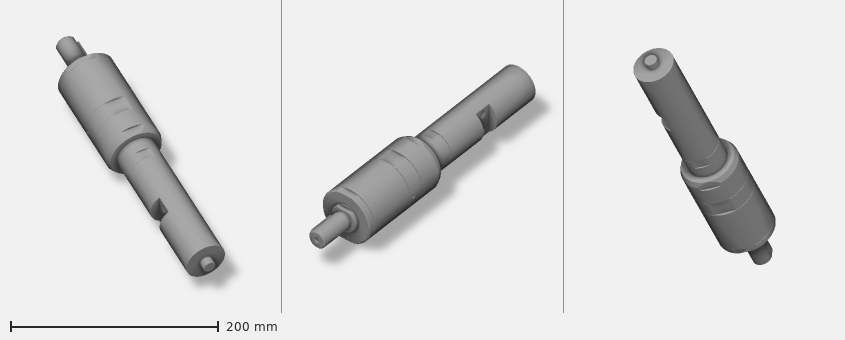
import cadquery as cq
import math

shaft_start = 0.0
shaft_end = 36.5
collar_start = 39.8
plate_start = 44.0
housing_start = 51.5
ring_start = 106.0
rear_cap_start = 123.8
rear_flat_start = 144.8
rear_taper_start = 148.5
handle_start = 154.2
wrench_start = 168.5
wrench_end = 179.0
handle_end = 305.0
total_length = 313.5

shaft_diameter = 20.0
shaft_neck_diameter = 18.8
collar_diameter = 30.0
recess_diameter = 35.0
housing_diameter = 60.0
rear_face_diameter = 55.0
handle_diameter = 41.5
stub_diameter = 13.0

shaft_chamfer = 1.3
collar_chamfer = 1.0
plate_chamfer = 1.5
joint_chamfer = 0.5
recess_depth = 1.0

collar_flats_width = 23.8
housing_flats_width = 55.2
handle_flats_width = 38.2

key_start = 5.0
key_end = 37.0
key_width = 6.0
key_top = 12.0
key_seat = 6.3

center_countersink_diameter = 6.5
center_drill_diameter = 4.0
center_drill_depth = 6.3
center_hole_angle = 60.0
drill_tip_angle = 118.0
side_hole_x = 110.0
side_hole_diameter = 3.5
side_hole_depth = 6.3
side_counterbore_diameter = 5.0
side_counterbore_depth = 1.5

slot_start = 226.7
slot_end = 246.7
slot_floor_y = -11.0
port_diameter = 8.5
port_spacing = 20.7
port_core_diameter = 25.0


def cylinder(start, end, diameter):
    """Round bar along X between two stations."""
    return cq.Workplane("YZ", origin=(start, 0, 0)).circle(diameter / 2).extrude(end - start)


def add_flats(body, start, end, width):
    """Cut two parallel flats, facing +Z and -Z, between two stations."""
    length = end - start
    for side in (1, -1):
        center_z = side * (width + housing_diameter) / 2
        cutter = cq.Workplane("XY").box(length, 2 * housing_diameter, housing_diameter)
        body = body.cut(cutter.translate((start + length / 2, 0, center_z)))
    return body


def cone_height(radius_drop, included_angle):
    """Length along the axis over which a cone narrows by the given radius."""
    return radius_drop / math.tan(math.radians(included_angle / 2))


def make_center_hole():
    """Countersunk center hole with a drill-point bottom, in the shaft end face."""
    sink_radius = center_countersink_diameter / 2
    drill_radius = center_drill_diameter / 2
    sink_x = shaft_start + cone_height(sink_radius - drill_radius, center_hole_angle)
    drill_x = shaft_start + center_drill_depth
    tip_x = drill_x + cone_height(drill_radius, drill_tip_angle)
    return (
        cq.Workplane("XY")
        .moveTo(shaft_start, 0)
        .lineTo(shaft_start, sink_radius)
        .lineTo(sink_x, drill_radius)
        .lineTo(drill_x, drill_radius)
        .lineTo(tip_x, 0)
        .close()
        .revolve(360, (0, 0, 0), (1, 0, 0))
    )


def make_shaft():
    shaft = cylinder(shaft_start, shaft_end, shaft_diameter).faces("<X").chamfer(shaft_chamfer)
    neck = cylinder(shaft_end, collar_start, shaft_neck_diameter)
    return shaft.union(neck).cut(make_center_hole())


def make_key():
    key_length = key_end - key_start
    return (
        cq.Workplane("XZ", origin=((key_start + key_end) / 2, key_seat, 0))
        .slot2D(key_length, key_width)
        .extrude(key_seat - key_top)
    )


def make_collar():
    seat_x = plate_start + recess_depth
    collar = cylinder(collar_start, seat_x, collar_diameter).faces("<X").chamfer(collar_chamfer)
    return add_flats(collar, collar_start, plate_start, collar_flats_width)


def make_housing():
    plate = (
        cylinder(plate_start, housing_start, housing_diameter)
        .faces("<X").chamfer(plate_chamfer)
        .faces(">X").chamfer(joint_chamfer)
    )
    plate = plate.cut(cylinder(plate_start, plate_start + recess_depth, recess_diameter))
    front = cylinder(housing_start, ring_start, housing_diameter).faces(">X").chamfer(joint_chamfer)
    ring = cylinder(ring_start, rear_cap_start, housing_diameter).faces(">X").chamfer(joint_chamfer)
    taper_length = handle_start - rear_taper_start
    taper_height = (housing_diameter - rear_face_diameter) / 2
    cap = (
        cylinder(rear_cap_start, handle_start, housing_diameter)
        .faces(">X").edges().chamfer(taper_length, taper_height)
    )
    housing = plate.union(front).union(ring).union(cap)
    housing = add_flats(housing, plate_start, housing_start, housing_flats_width)
    housing = add_flats(housing, ring_start, rear_cap_start, housing_flats_width)
    housing = add_flats(housing, rear_flat_start, handle_start, housing_flats_width)
    side_hole = (
        cq.Workplane("XZ", origin=(side_hole_x, -housing_diameter / 2, 0))
        .circle(side_hole_diameter / 2)
        .extrude(-side_hole_depth)
    )
    side_counterbore = (
        cq.Workplane("XZ", origin=(side_hole_x, -housing_diameter / 2, 0))
        .circle(side_counterbore_diameter / 2)
        .extrude(-side_counterbore_depth)
    )
    return housing.cut(side_hole).cut(side_counterbore)


def make_handle():
    front = cylinder(handle_start, wrench_end, handle_diameter).faces(">X").chamfer(joint_chamfer)
    front = add_flats(front, wrench_start, wrench_end, handle_flats_width)
    rear = cylinder(wrench_end, handle_end, handle_diameter)
    stub = cylinder(handle_end, total_length, stub_diameter).faces(">X").chamfer(joint_chamfer)
    return front.union(rear).union(stub)


def make_port_slot():
    """Flat-bottomed cross slot with two ports that stop against a round core."""
    slot_length = slot_end - slot_start
    slot_x = (slot_start + slot_end) / 2
    slot = (
        cq.Workplane("XY")
        .box(slot_length, handle_diameter, handle_diameter)
        .translate((slot_x, slot_floor_y - handle_diameter / 2, 0))
    )
    ports = (
        cq.Workplane("XZ", origin=(slot_x, 0, 0))
        .pushPoints([(0, port_spacing / 2), (0, -port_spacing / 2)])
        .circle(port_diameter / 2)
        .extrude(-slot_floor_y)
    )
    ports = ports.cut(cylinder(slot_start, slot_end, port_core_diameter))
    return slot.union(ports)


result = (
    make_housing()
    .union(make_collar())
    .union(make_shaft())
    .union(make_key())
    .union(make_handle())
    .cut(make_port_slot())
)